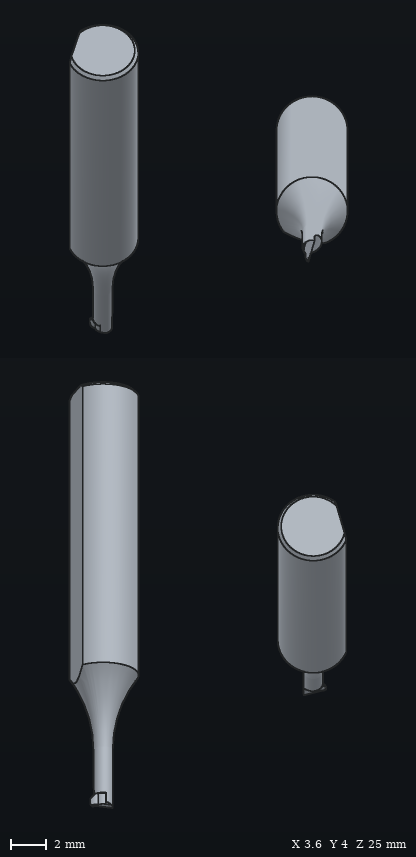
import cadquery as cq
import math


total_length = 25.0
shank_radius = 2.0
flat_distance = 1.6
end_chamfer = 0.2

neck_radius = 0.55
neck_top = 3.5
flare_top = 8.0

gullet_top = 1.7
gullet_bottom = 0.98
gullet_radius = 1.0

head_top = 0.72
head_reach = 0.76
edge_bottom = 0.12
edge_top = 0.46
tip_offset = 0.61
tip_inner_offset = 0.50
end_face = 0.06
tip_depth = 0.06
heel_chamfer = 0.10
relief_radius = 0.45
relief_corner = (-0.37, -0.27)


def turned_body():
    """Chamfered shank, concave flare tangent to the neck, and neck, revolved about Z."""
    rise = flare_top - neck_top
    step = shank_radius - neck_radius
    flare_radius = (rise**2 + step**2) / (2 * step)
    half_angle = math.asin(rise / flare_radius) / 2
    flare_mid = (
        neck_radius + flare_radius * (1 - math.cos(half_angle)),
        neck_top + flare_radius * math.sin(half_angle),
    )
    return (
        cq.Workplane("XZ")
        .moveTo(0, 0)
        .lineTo(neck_radius, 0)
        .lineTo(neck_radius, neck_top)
        .threePointArc(flare_mid, (shank_radius, flare_top))
        .lineTo(shank_radius, total_length - end_chamfer)
        .lineTo(shank_radius - end_chamfer, total_length)
        .lineTo(0, total_length)
        .close()
        .revolve(360, (0, 0), (0, 1))
    )


def flat_cutter():
    """Block that removes everything beyond the clamping flat."""
    width = 2 * shank_radius
    return (
        cq.Workplane("XY")
        .box(shank_radius, width, total_length, centered=(False, True, False))
        .translate((-flat_distance - shank_radius, 0, 0))
    )


def gullet_cutter():
    """Half-neck cut on the plane Y = 0, blending up to the +Y side along an arc."""
    outer = 2 * neck_radius
    return (
        cq.Workplane("YZ")
        .lineTo(0, gullet_bottom)
        .radiusArc((neck_radius, gullet_top), gullet_radius)
        .lineTo(outer, gullet_top)
        .lineTo(outer, 0)
        .close()
        .extrude(head_reach, both=True)
    )


def quarter_cutter():
    """Block that clears the -X, -Y quarter of the neck where the head sits."""
    return (
        cq.Workplane("XY")
        .box(head_reach, head_reach, head_top, centered=False)
        .translate((-head_reach, -head_reach, 0))
    )


def end_cutter(tip_relief_depth):
    """Material below the end face and heel chamfer, sloping to the tip just behind Y = 0."""
    heel = -neck_radius
    return (
        cq.Workplane("YZ")
        .lineTo(-tip_relief_depth, end_face)
        .lineTo(heel + heel_chamfer, end_face)
        .lineTo(heel, end_face + heel_chamfer)
        .lineTo(heel, 0)
        .close()
        .extrude(head_reach, both=True)
    )


def cutting_head():
    """Common volume of the head's plan and front outlines, relieved below the tip."""
    heel_radius = math.hypot(*relief_corner)
    heel_angle = (math.atan2(relief_corner[1], relief_corner[0]) - math.pi / 2) / 2
    heel_mid = (heel_radius * math.cos(heel_angle), heel_radius * math.sin(heel_angle))
    plan = (
        cq.Workplane("XY")
        .lineTo(-head_reach, 0)
        .radiusArc(relief_corner, -relief_radius)
        .threePointArc(heel_mid, (0, -heel_radius))
        .close()
        .extrude(head_top)
    )
    front = (
        cq.Workplane("XZ")
        .polyline([
            (0, head_top),
            (-neck_radius, head_top),
            (-head_reach, edge_top),
            (-head_reach, edge_bottom),
            (-tip_offset, 0),
            (-tip_inner_offset, end_face),
            (0, end_face),
        ])
        .close()
        .extrude(neck_radius)
    )
    return plan.intersect(front).cut(end_cutter(tip_depth))


body = turned_body().cut(flat_cutter()).cut(gullet_cutter())
body = body.cut(quarter_cutter()).cut(end_cutter(0))
result = body.union(cutting_head())